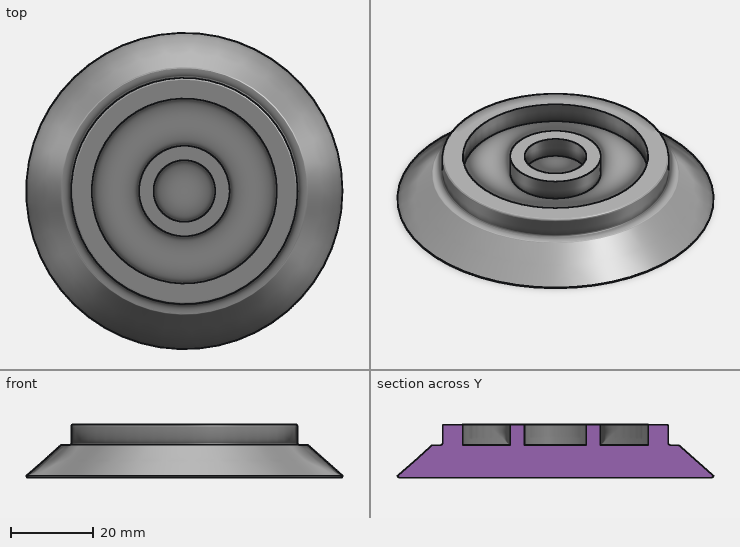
import cadquery as cq

rim_diameter = 76.9
total_height = 13.0

edge_radius = 0.5

shoulder_diameter = 60.0
shoulder_height = 8.0

collar_diameter = 55.0

pocket_diameter = 45.0
boss_diameter = 22.0
bore_diameter = 15.0
pocket_depth = 5.0


def edge_at(body, diameter, height):
    """The circular edge of the body with the given diameter and height."""
    tolerance = 0.01
    return body.edges().filter(
        lambda edge: edge.geomType() == "CIRCLE"
        and abs(edge.radius() - diameter / 2) < tolerance
        and abs(edge.Center().z - height) < tolerance
    )


def make_body():
    """Skirt and collar turned from one half profile, with rounded edges."""
    rim_radius = rim_diameter / 2
    rim_arc_start = (rim_radius - edge_radius, 0)
    rim_arc_end = (rim_radius, edge_radius)
    profile = (
        cq.Workplane("XZ")
        .lineTo(*rim_arc_start)
        .radiusArc(rim_arc_end, -edge_radius)
        .lineTo(shoulder_diameter / 2, shoulder_height)
        .lineTo(collar_diameter / 2, shoulder_height)
        .lineTo(collar_diameter / 2, total_height)
        .lineTo(0, total_height)
        .close()
    )
    body = profile.revolve(360, (0, 0, 0), (0, 1, 0))
    rounded_edges = [
        (shoulder_diameter, shoulder_height),
        (collar_diameter, shoulder_height),
        (collar_diameter, total_height),
    ]
    for diameter, height in rounded_edges:
        body = edge_at(body, diameter, height).fillet(edge_radius)
    return body


def make_pocket():
    """Material removed from the top: the annular pocket and the boss bore."""
    floor = cq.Workplane("XY").workplane(offset=total_height - pocket_depth)
    ring = floor.circle(pocket_diameter / 2).circle(boss_diameter / 2).extrude(pocket_depth)
    bore = floor.circle(bore_diameter / 2).extrude(pocket_depth)
    return ring.union(bore)


result = make_body().cut(make_pocket())